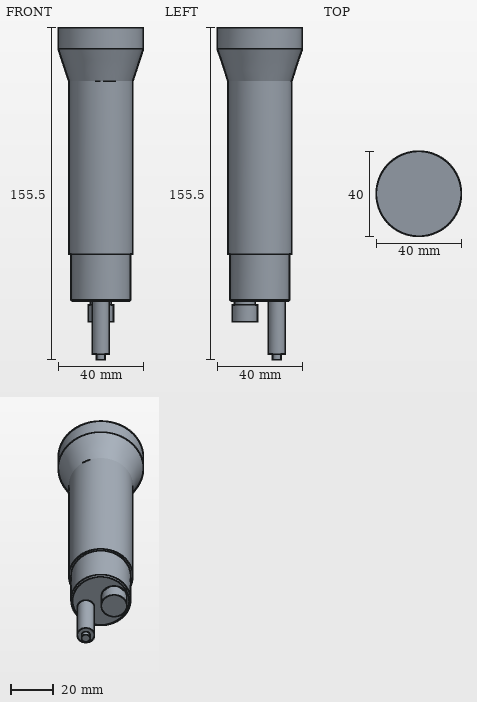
import cadquery as cq

total_height = 155.5
head_diameter = 40.0
head_height = 10.0
cone_height = 15.1
body_diameter = 30.0
body_bottom = 49.5
spigot_diameter = 28.0
spigot_bottom = 27.4
spigot_chamfer = 0.8

pin_offset = 8.0
pin_diameter = 8.1
tip_diameter = 4.0
tip_height = 2.6

stud_offset = 7.0
stud_diameter = 12.0
neck_diameter = 10.0
stud_bottom = 17.7
stud_height = 8.0

head_bottom = total_height - head_height
cone_bottom = head_bottom - cone_height
stud_top = stud_bottom + stud_height


def cylinder(diameter, bottom, top, y=0):
    """Vertical cylinder between two heights, centred at X = 0."""
    return (
        cq.Workplane("XY", origin=(0, y, bottom))
        .circle(diameter / 2)
        .extrude(top - bottom)
    )


head = cylinder(head_diameter, head_bottom, total_height)
cone = (
    cq.Workplane("XY", origin=(0, 0, cone_bottom))
    .circle(body_diameter / 2)
    .workplane(offset=cone_height)
    .circle(head_diameter / 2)
    .loft()
)

body = cylinder(body_diameter, body_bottom, cone_bottom)
spigot = cylinder(spigot_diameter, spigot_bottom, body_bottom).faces("<Z").chamfer(spigot_chamfer)

pin = cylinder(pin_diameter, tip_height, spigot_bottom, -pin_offset)
tip = cylinder(tip_diameter, 0, tip_height, -pin_offset)
neck = cylinder(neck_diameter, stud_top, spigot_bottom, stud_offset)
stud = cylinder(stud_diameter, stud_bottom, stud_top, stud_offset)

result = head
for section in (cone, body, spigot, pin, tip, neck, stud):
    result = result.union(section)